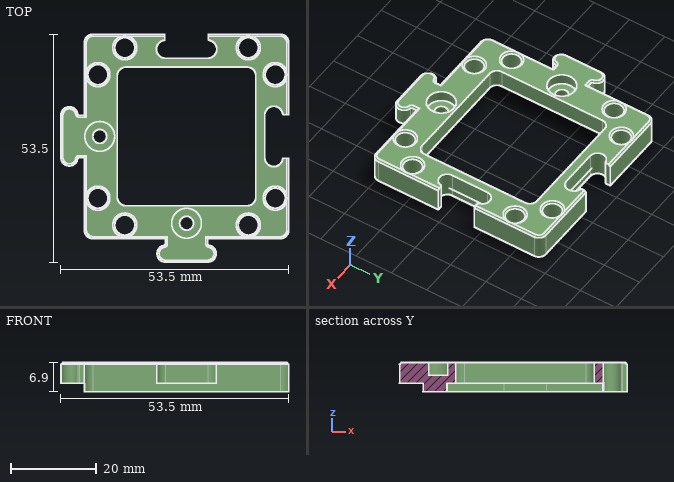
import cadquery as cq
import math

overall_size = 53.5
tab_reach = 5.5
frame_size = overall_size - tab_reach
frame_half = frame_size / 2
frame_height = 6.9
corner_radius = 2.0
window_size = 32.5
top_chamfer = 0.5
ledge_width = 2.05
recess_size = window_size + 2 * ledge_width

tab_lift = 2.0
recess_depth = tab_lift
lobe_radius = 2.0
lobe_offset = 5.0
neck_fillet = 0.4
fit_clearance = 0.1
root_overlap = 1.6

pair_diameter = 4.7
pair_along = 14.5
pair_out = 20.8
pair_chamfer = 0.5
pair_chamfer_angle = 90

screw_diameter = 3.2
bore_diameter = 7.0
bore_depth = 3.0
screw_out = 20.4


def key_prism(clearance, height):
    """T-shaped key pointing to -Y, grown by the clearance, with the frame edge at y = 0."""
    radius = lobe_radius + clearance
    fillet = neck_fillet - clearance
    half_neck = lobe_offset + clearance
    lobe_y = lobe_radius - tab_reach

    fillet_x = half_neck + fillet
    fillet_run = fillet_x - lobe_offset
    center_distance = radius + fillet
    fillet_y = lobe_y + math.sqrt(center_distance**2 - fillet_run**2)
    lean = math.atan2(fillet_y - lobe_y, fillet_run)

    def on_lobe(angle):
        return lobe_offset + radius * math.cos(angle), lobe_y + radius * math.sin(angle)

    def on_fillet(angle):
        return fillet_x + fillet * math.cos(angle), fillet_y + fillet * math.sin(angle)

    half = (
        cq.Workplane("XY")
        .moveTo(0, root_overlap)
        .lineTo(0, lobe_y - radius)
        .lineTo(lobe_offset, lobe_y - radius)
        .threePointArc(on_lobe(0), on_lobe(lean))
        .threePointArc(on_fillet(lean / 2 - math.pi), on_fillet(math.pi))
        .lineTo(half_neck, root_overlap)
        .close()
        .extrude(height)
    )
    return half.union(half.mirror("YZ")).clean()


def onto_x_side(feature):
    """Turn a feature from the Y axis onto the X axis (-Y goes to -X)."""
    return feature.rotate((0, 0, 0), (0, 0, 1), -90)


body = cq.Workplane("XY").rect(frame_size, frame_size).extrude(frame_height)
body = body.edges("|Z").fillet(corner_radius)
tab = key_prism(0, frame_height - tab_lift).translate((0, -frame_half, tab_lift))
body = body.union(tab).union(onto_x_side(tab)).clean()
body = body.faces(">Z").edges().chamfer(top_chamfer)

window = cq.Workplane("XY").rect(window_size, window_size).extrude(frame_height)
body = body.cut(window.edges("|Z").fillet(corner_radius))

recess = cq.Workplane("XY").rect(recess_size, recess_size).extrude(recess_depth)
body = body.cut(recess)

socket = key_prism(fit_clearance, frame_height).translate((0, frame_half, 0))
body = body.cut(socket).cut(onto_x_side(socket))

pair_points = []
for x_sign in (-1, 1):
    for y_sign in (-1, 1):
        pair_points.append((x_sign * pair_along, y_sign * pair_out))
        pair_points.append((x_sign * pair_out, y_sign * pair_along))
mouth_diameter = pair_diameter + 2 * pair_chamfer
body = (
    body.faces(">Z")
    .workplane(origin=(0, 0, frame_height))
    .pushPoints(pair_points)
    .cskHole(pair_diameter, mouth_diameter, pair_chamfer_angle)
)

result = (
    body.faces(">Z")
    .workplane(origin=(0, 0, frame_height))
    .pushPoints([(0, -screw_out), (-screw_out, 0)])
    .cboreHole(screw_diameter, bore_diameter, bore_depth)
)